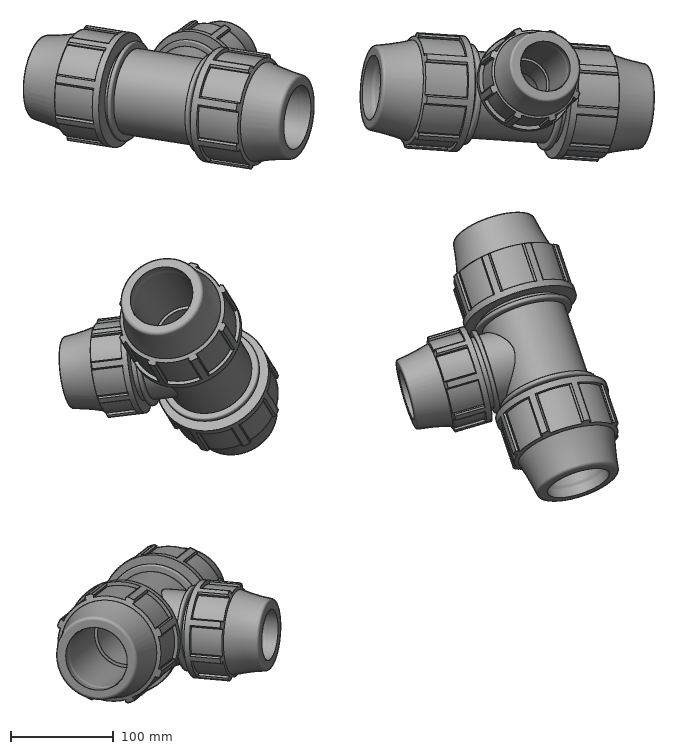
import cadquery as cq


OVERALL_DEPTH = 188.5
RUN_LENGTH = 275.0
RUN_FLANGE_DIAMETER = 113.0

RUN = dict(
    reach=RUN_LENGTH / 2,
    pipe_radius=84.7 / 2,
    bore_radius=56.6 / 2,
    mouth_radius=63.0 / 2,
    mouth_flare=0.7,
    mouth_depth=9.5,
    lead_length=3.3,
    tip_radius=41.2,
    taper_radius=98.2 / 2,
    taper_bow=0.8,
    tip_fillet=3.0,
    nut_radius=52.8,
    nut_end=99.3,
    rib_top=6.3,
    rib_waist=10.0,
    rib_waist_radius=54.5,
    rib_root=8.2,
    flange_radius=RUN_FLANGE_DIAMETER / 2,
    flange_end=55.8,
    flange_start=49.0,
    collar_radius=98.2 / 2,
    collar_middle=41.8,
    collar_width=5.0,
)

BRANCH = dict(
    reach=OVERALL_DEPTH - RUN_FLANGE_DIAMETER / 2,
    pipe_radius=72.0 / 2,
    bore_radius=45.0 / 2,
    mouth_radius=50.0 / 2,
    mouth_flare=0.5,
    mouth_depth=8.2,
    lead_length=2.8,
    tip_radius=35.2,
    taper_radius=83.5 / 2,
    taper_bow=0.8,
    tip_fillet=2.2,
    nut_radius=44.0,
    nut_end=98.2,
    rib_top=5.5,
    rib_waist=8.2,
    rib_waist_radius=46.2,
    rib_root=7.2,
    flange_radius=96.0 / 2,
    flange_end=65.5,
    flange_start=59.7,
    collar_radius=83.5 / 2,
    collar_middle=51.7,
    collar_width=4.0,
)

RIB_COUNT = 8
RIB_SINK = 2.8
RIM_OVERSHOOT = 0.3
NUT_FACE_SLOPE = 0.37
COLLAR_FILLET_SHARE = 1 / 3


def cylinder(radius, start, end):
    return cq.Workplane("XY").workplane(offset=start).circle(radius).extrude(end - start)


def nut_envelope(size):
    """Turned outline of the nut: ribbed length, coned face, then a hollow taper to a rounded tip."""
    rim_drop = NUT_FACE_SLOPE * (size["flange_radius"] - size["taper_radius"])
    middle_radius = (size["tip_radius"] + size["taper_radius"]) / 2 - size["taper_bow"]
    middle_height = (size["nut_end"] + size["reach"]) / 2
    envelope = (
        cq.Workplane("XZ")
        .moveTo(0, size["flange_start"])
        .lineTo(size["flange_radius"], size["flange_start"])
        .lineTo(size["flange_radius"], size["nut_end"] - rim_drop)
        .lineTo(size["taper_radius"], size["nut_end"])
        .threePointArc((middle_radius, middle_height), (size["tip_radius"], size["reach"]))
        .lineTo(0, size["reach"])
        .close()
        .revolve(360, (0, 0, 0), (0, 1, 0))
    )
    return envelope.faces(">Z").edges().fillet(size["tip_fillet"])


def ribbed_bar(size):
    """Flanged bar with ribs that are widest between the bar surface and the rim."""
    flank = [
        (size["nut_radius"] - RIB_SINK, size["rib_root"] / 2),
        (size["nut_radius"], size["rib_root"] / 2),
        (size["rib_waist_radius"], size["rib_waist"] / 2),
        (size["flange_radius"] + RIM_OVERSHOOT, size["rib_top"] / 2),
    ]
    opposite_flank = [(radius, -half_width) for radius, half_width in reversed(flank)]
    rib = (
        cq.Workplane("XY")
        .workplane(offset=size["flange_start"])
        .polyline(flank + opposite_flank)
        .close()
        .extrude(size["reach"] - size["flange_start"])
    )
    flange = cylinder(size["flange_radius"] + RIM_OVERSHOOT, size["flange_start"], size["flange_end"])
    bar = cylinder(size["nut_radius"], size["flange_start"], size["reach"]).union(flange)
    pitch = 360 / RIB_COUNT
    for index in range(RIB_COUNT):
        bar = bar.union(rib.rotate((0, 0, 0), (0, 0, 1), (index + 0.5) * pitch))
    return bar


def nut(size):
    return ribbed_bar(size).intersect(nut_envelope(size))


def collar(size):
    half_width = size["collar_width"] / 2
    ring = cylinder(
        size["collar_radius"],
        size["collar_middle"] - half_width,
        size["collar_middle"] + half_width,
    )
    return ring.edges().fillet(size["collar_width"] * COLLAR_FILLET_SHARE)


def outlet(size):
    """Solid outlet along +Z, before boring."""
    pipe = cylinder(size["pipe_radius"], 0, size["flange_end"])
    return pipe.union(collar(size)).union(nut(size))


def outlet_bore(size):
    """Bore from the tee centre, socket with a flat pipe stop, short cone and flared mouth."""
    mouth_start = size["reach"] - size["mouth_depth"]
    pipe_stop = size["flange_start"]
    return (
        cq.Workplane("XZ")
        .polyline([
            (0, 0),
            (size["bore_radius"], 0),
            (size["bore_radius"], pipe_stop),
            (size["mouth_radius"], pipe_stop),
            (size["mouth_radius"], mouth_start - size["lead_length"]),
            (size["mouth_radius"] + size["mouth_flare"], mouth_start),
            (size["mouth_radius"], size["reach"]),
            (0, size["reach"]),
        ])
        .close()
        .revolve(360, (0, 0, 0), (0, 1, 0))
    )


def toward_x(shape, sign):
    return shape.rotate((0, 0, 0), (0, 1, 0), sign * 90)


def toward_y(shape):
    return shape.rotate((0, 0, 0), (1, 0, 0), -90)


def tee(run_shape, branch_shape):
    run = toward_x(run_shape, 1).union(toward_x(run_shape, -1))
    return run.union(toward_y(branch_shape))


result = tee(outlet(RUN), outlet(BRANCH)).cut(tee(outlet_bore(RUN), outlet_bore(BRANCH)))